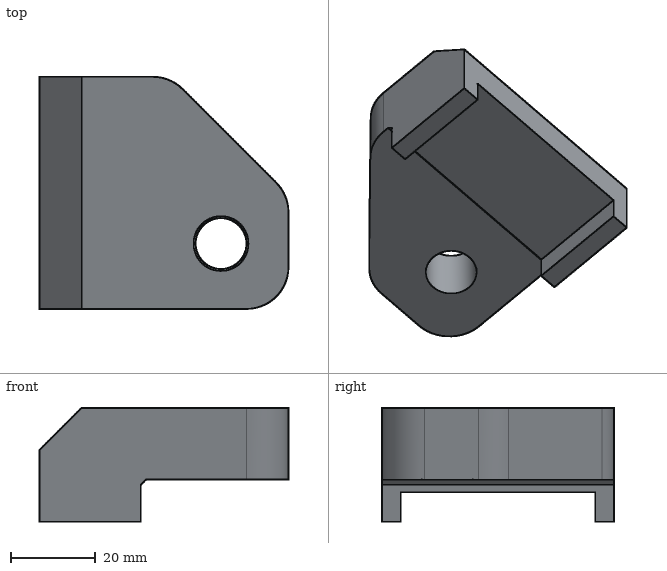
import cadquery as cq

length = 59.0
width = 55.0
height = 27.0

foot_length = 24.0
foot_height = 10.0
nose_chamfer = 10.0
relief_chamfer = 1.25

corner_cut = 28.0
corner_radius = 10.0

leg_width = 4.5
slot_height = 7.0

hole_x = 43.0
hole_y = 15.5
hole_diameter = 12.0
hole_chamfer = 0.5


def make_profile_body():
    """Foot and overhanging plate, extruded across the full width."""
    return (
        cq.Workplane("XZ")
        .moveTo(0, 0)
        .lineTo(foot_length, 0)
        .lineTo(foot_length, foot_height - relief_chamfer)
        .lineTo(foot_length + relief_chamfer, foot_height)
        .lineTo(length, foot_height)
        .lineTo(length, height)
        .lineTo(nose_chamfer, height)
        .lineTo(0, height - nose_chamfer)
        .close()
        .extrude(-width)
    )


def make_plan_prism():
    """Plan outline with one cut corner and rounded corners away from the nose."""
    return (
        cq.Workplane("XY")
        .moveTo(0, 0)
        .lineTo(length, 0)
        .lineTo(length, width - corner_cut)
        .lineTo(length - corner_cut, width)
        .lineTo(0, width)
        .close()
        .extrude(height)
        .edges("|Z and (not <X)")
        .fillet(corner_radius)
    )


def make_slot():
    """Slot under the foot, open at both X ends."""
    slot_width = width - 2 * leg_width
    return (
        cq.Workplane("XY")
        .box(foot_length, slot_width, slot_height, centered=False)
        .translate((0, leg_width, 0))
    )


def make_hole():
    """Vertical through hole with a small chamfer at its top rim."""
    radius = hole_diameter / 2
    rim_radius = radius + hole_chamfer
    return (
        cq.Workplane("XZ")
        .moveTo(0, 0)
        .lineTo(radius, 0)
        .lineTo(radius, height - hole_chamfer)
        .lineTo(rim_radius, height)
        .lineTo(0, height)
        .close()
        .revolve(360, (0, 0, 0), (0, 1, 0))
        .translate((hole_x, hole_y, 0))
    )


body = make_profile_body().intersect(make_plan_prism())
result = body.cut(make_slot()).cut(make_hole())